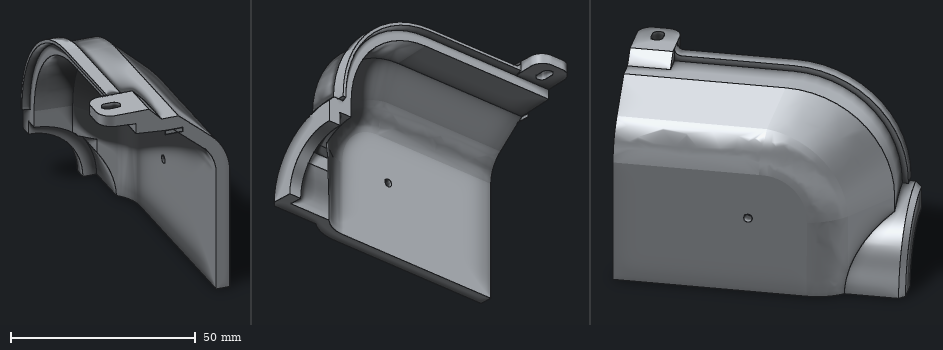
import cadquery as cq
import math

end_x = 79.8
back_y = 27.5
overrun = 16.0

bend_x, bend_z = 35.0, 24.8
outer_bend = 30.0
inner_bend_front = 27.0
inner_bend_shoulder = 26.2
outer_shoulder_y = 12.5
inner_shoulder_y = 11.0
back_thickness = 4.0
left_slope = math.radians(45)
top_slope = math.radians(50)
outer_back_bend = 20.0
inner_back_bend = 18.4
inner_fillet = 11.0
outer_fillet = inner_fillet + back_thickness

lip_bend = outer_bend + 1.7
lip_inner_bend = outer_bend + 0.7
lip_reach = 2.0
lip_bottom = 24.0

socket_radius = 24.0
socket_chamfer = 1.6
socket_length = 24.0
mouth_radius = 16.0
mouth_depth = 3.9
groove_radius = 20.0

tab_x = 67.8
tab_top = 58.5
tab_front_y = -10.0
tab_back_y = 3.8
tab_tip_bottom = 55.4
tab_root_bottom = 55.0
tab_corner = 4.0
tab_blend = 2.0
slot_width = 3.3
slot_length = 5.4
slot_y = -4.9

hole_x, hole_z, hole_diameter = 42.5, 22.0, 2.3
nub_length = 0.2
nub_y, nub_width = 8.6, 5.1
nub_z, nub_height = 49.9, 1.2

wall_top = bend_z + outer_bend


def outline(y, left, top, bend):
    """Closed wire at depth y with one rounded upper-left corner."""
    right = end_x + overrun
    mid = bend * math.sqrt(0.5)
    centre_x, centre_z = left + bend, top - bend
    return (
        cq.Workplane("XZ", origin=(0, y, 0))
        .moveTo(left, -overrun)
        .lineTo(left, centre_z)
        .threePointArc((centre_x - mid, centre_z + mid), (centre_x, top))
        .lineTo(right, top)
        .lineTo(right, -overrun)
        .close()
        .val()
    )


def wall_outline(y, bend):
    """Outline whose corner is concentric with the side wall bend."""
    return outline(y, bend_x - bend, bend_z + bend, bend)


def ruled(first, second):
    return cq.Workplane(cq.Solid.makeLoft([first, second], True))


def box(x0, x1, y0, y1, z0, z1):
    return cq.Workplane("XY").box(x1 - x0, y1 - y0, z1 - z0, centered=False).translate((x0, y0, z0))


def x_cylinder(radius, start, length):
    return cq.Workplane("YZ", origin=(start, 0, 0)).circle(radius).extrude(length)


def rounded_body(front_bend, shoulder_bend, shoulder_y, rear_y, rear_bend, fillet):
    """Straight wall, sloped wall and rounded back as one solid."""
    depth = rear_y - shoulder_y
    left = bend_x - shoulder_bend + depth / math.tan(left_slope)
    top = bend_z + shoulder_bend - depth / math.tan(top_slope)
    shoulder = wall_outline(shoulder_y, shoulder_bend)
    slope = ruled(shoulder, outline(rear_y, left, top, rear_bend))
    slope = slope.faces(">Y").edges("not (<Z or >X)").fillet(fillet)
    return ruled(wall_outline(0, front_bend), shoulder).union(slope)


def make_lip():
    band = ruled(wall_outline(-lip_reach, lip_bend), wall_outline(lip_reach, lip_bend))
    recess = ruled(wall_outline(-lip_reach, lip_inner_bend), wall_outline(0, outer_bend))
    wall_core = ruled(wall_outline(0, outer_bend), wall_outline(lip_reach, outer_bend))
    trim = box(0, end_x, -lip_reach, lip_reach, lip_bottom, tab_top)
    return band.cut(recess).cut(wall_core).intersect(trim)


def make_socket():
    body = x_cylinder(socket_radius, 0, socket_length).faces("<X").chamfer(socket_chamfer)
    return body.intersect(box(0, socket_length, 0, socket_radius, 0, socket_radius))


def make_socket_cavity():
    mouth = x_cylinder(mouth_radius, 0, mouth_depth)
    groove = x_cylinder(groove_radius, mouth_depth, socket_length - mouth_depth)
    square = box(mouth_depth, socket_length, 0, mouth_radius, 0, mouth_radius)
    return mouth.union(groove).union(square)


def make_tab():
    width = end_x - tab_x
    foot_y = tab_back_y + tab_top - wall_top
    tab = (
        cq.Workplane("YZ", origin=(tab_x, 0, 0))
        .moveTo(tab_front_y, tab_top)
        .lineTo(tab_back_y, tab_top)
        .lineTo(foot_y, wall_top)
        .lineTo(0, wall_top)
        .lineTo(-lip_reach, tab_root_bottom)
        .lineTo(tab_front_y, tab_tip_bottom)
        .close()
        .extrude(width)
        .edges("<Y and |Z")
        .fillet(tab_corner)
    )
    slot = (
        cq.Workplane("XY", origin=(tab_x + width / 2, slot_y, 0))
        .slot2D(slot_length, slot_width, 90)
        .extrude(tab_top)
    )
    return tab.cut(slot)


def make_tab_blend():
    """Concave blend from the lip up to the side of the tab."""
    lip_top = bend_z + lip_bend
    mid = tab_blend * math.sqrt(0.5)
    start_x = tab_x - tab_blend
    return (
        cq.Workplane("XZ", origin=(0, lip_reach, 0))
        .moveTo(start_x, lip_top)
        .threePointArc((start_x + mid, lip_top + tab_blend - mid), (tab_x, lip_top + tab_blend))
        .lineTo(tab_x, lip_top)
        .close()
        .extrude(2 * lip_reach)
    )


outer = rounded_body(outer_bend, outer_bend, outer_shoulder_y, back_y, outer_back_bend, outer_fillet)
cavity = rounded_body(
    inner_bend_front, inner_bend_shoulder, inner_shoulder_y,
    back_y - back_thickness, inner_back_bend, inner_fillet,
)
pin_hole = (
    cq.Workplane("XZ", origin=(hole_x, 0, hole_z))
    .circle(hole_diameter / 2)
    .extrude(-back_y)
)
nub = box(end_x, end_x + nub_length, nub_y, nub_y + nub_width, nub_z, nub_z + nub_height)

shell = outer.intersect(box(0, end_x, 0, back_y, 0, wall_top))
shell = shell.union(make_socket()).cut(cavity).cut(make_socket_cavity()).cut(pin_hole)
result = shell.union(make_lip()).union(make_tab()).union(make_tab_blend()).union(nub)